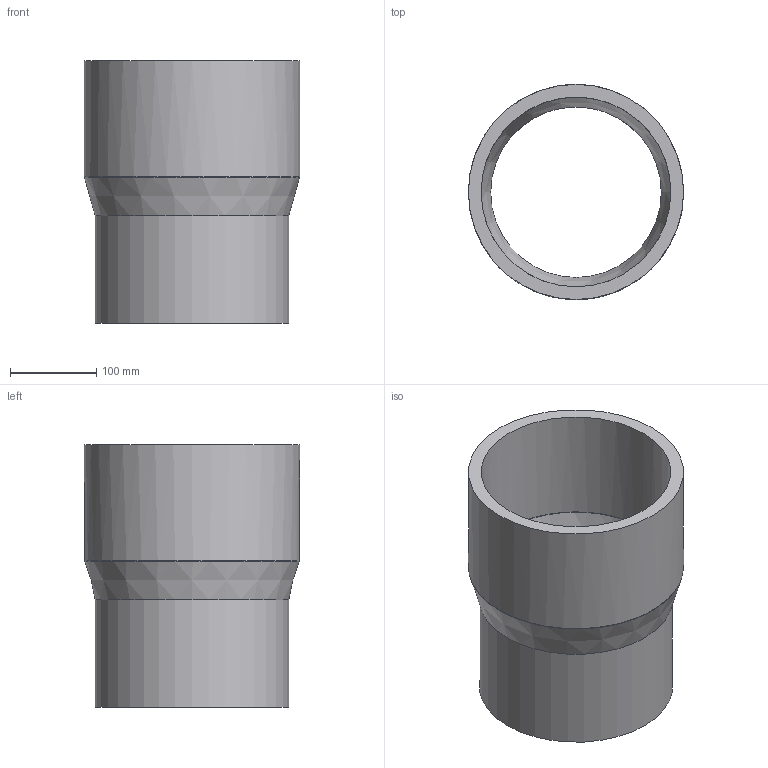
import cadquery as cq

large_diameter = 250.0
large_wall = 14.8
small_diameter = 225.0
small_wall = 13.4

total_height = 305.0
small_length = 125.0
taper_length = 45.0
blend_radius = 2.0

taper_start = small_length
taper_end = taper_start + taper_length


def stepped_solid(small_radius, large_radius):
    """Solid of revolution: small cylinder, cone, then large cylinder."""
    revolved = (
        cq.Workplane("XZ")
        .lineTo(small_radius, 0)
        .lineTo(small_radius, taper_start)
        .lineTo(large_radius, taper_end)
        .lineTo(large_radius, total_height)
        .lineTo(0, total_height)
        .close()
        .revolve(360, (0, 0, 0), (0, 1, 0))
    )
    cone_top_edge = revolved.edges("%CIRCLE").edges(cq.selectors.NearestToPointSelector((0, 0, taper_end)))
    return cone_top_edge.fillet(blend_radius)


small_outer_radius = small_diameter / 2
large_outer_radius = large_diameter / 2

body = stepped_solid(small_outer_radius, large_outer_radius)
bore = stepped_solid(small_outer_radius - small_wall, large_outer_radius - large_wall)

result = body.cut(bore)